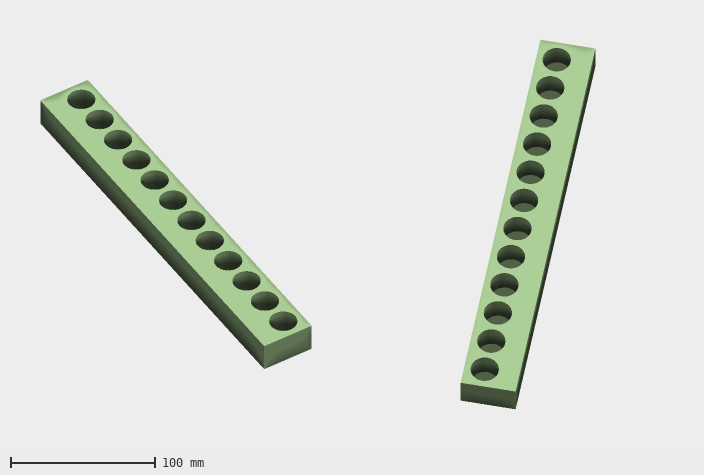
import cadquery as cq

length = 293.0
width = 39.0
height = 22.0

socket_count = 12
socket_diameter = 19.5
socket_pitch = 24.0
socket_depth = 18.0
row_from_back = 14.5

row_y = width / 2 - row_from_back
first_socket_x = -socket_pitch * (socket_count - 1) / 2


def make_bar():
    return cq.Workplane("XY").box(length, width, height, centered=(True, True, False))


def cut_sockets(body):
    centres = [(first_socket_x + i * socket_pitch, row_y) for i in range(socket_count)]
    return (
        body.faces(">Z")
        .workplane(origin=(0, 0, height))
        .pushPoints(centres)
        .hole(socket_diameter, socket_depth)
    )


result = cut_sockets(make_bar())